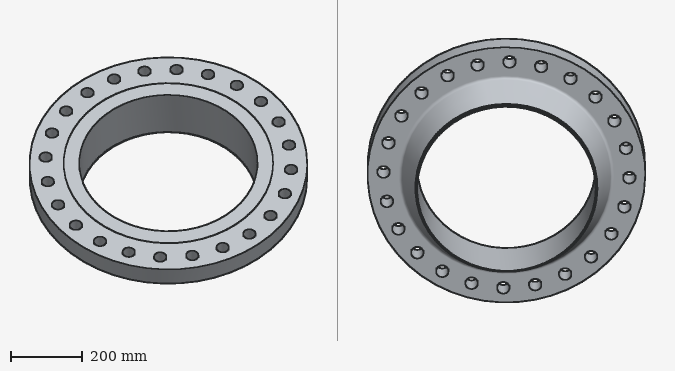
import cadquery as cq

outer_diameter = 775
total_height = 162.0
plate_thickness = 63.5
bore_diameter = 497.0

face_diameter = 584.0
face_height = 1.5

bolt_count = 24
bolt_circle_diameter = 685.5
bolt_hole_diameter = 35.0

hub_root_diameter = 587.0
hub_root_fillet = 10.0
neck_diameter = 508.0
neck_height = 9.0
bevel_width = 2.0
bevel_height = 4.0

plate_bottom = total_height - plate_thickness
rim_top = total_height - face_height


def make_plate():
    rim = (
        cq.Workplane("XY")
        .workplane(offset=plate_bottom)
        .circle(outer_diameter / 2)
        .extrude(rim_top - plate_bottom)
    )
    raised_face = (
        cq.Workplane("XY")
        .workplane(offset=rim_top)
        .circle(face_diameter / 2)
        .extrude(face_height)
    )
    return rim.union(raised_face)


def make_hub():
    neck_radius = neck_diameter / 2
    return (
        cq.Workplane("XZ")
        .lineTo(neck_radius - bevel_width, 0)
        .lineTo(neck_radius, bevel_height)
        .lineTo(neck_radius, neck_height)
        .lineTo(hub_root_diameter / 2, plate_bottom)
        .lineTo(0, plate_bottom)
        .close()
        .revolve(360, (0, 0, 0), (0, 1, 0))
    )


def fillet_hub_root(body):
    root_radius = hub_root_diameter / 2
    margin = 1.0
    root_edge = cq.selectors.BoxSelector(
        (-root_radius - margin, -root_radius - margin, plate_bottom - margin),
        (root_radius + margin, root_radius + margin, plate_bottom + margin),
        boundingbox=True,
    )
    return body.edges(root_edge).fillet(hub_root_fillet)


def make_bore():
    return cq.Workplane("XY").circle(bore_diameter / 2).extrude(total_height)


def make_bolt_holes():
    return (
        cq.Workplane("XY")
        .polarArray(bolt_circle_diameter / 2, 0, 360, bolt_count)
        .circle(bolt_hole_diameter / 2)
        .extrude(total_height)
    )


flange = fillet_hub_root(make_plate().union(make_hub()))
result = flange.cut(make_bore()).cut(make_bolt_holes())